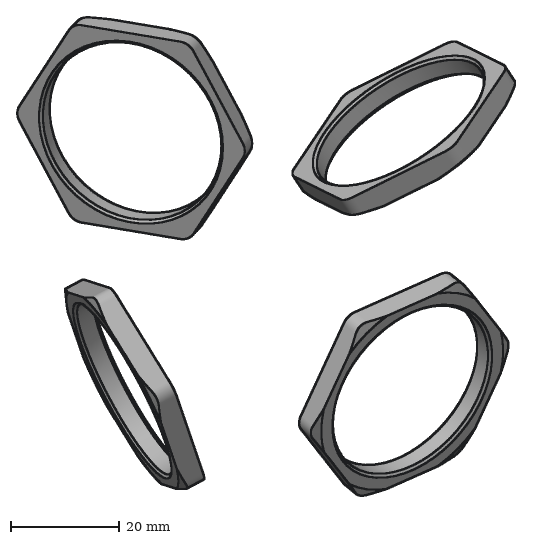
import cadquery as cq
import math

across_flats = 40.0
across_corners = 45.25
thickness = 4.5
bore_diameter = 35.5
bore_chamfer = 0.55
crown_radius = 20.8
crown_angle = 24.0

corner_stretch = 1 / math.cos(math.radians(30))
sharp_corners = across_flats * corner_stretch
corner_radius = (sharp_corners - across_corners) / 2 / (corner_stretch - 1)

front_y = -thickness / 2
back_y = thickness / 2


def hexagon_blank():
    """Hexagonal prism with rounded corners, two of them on the X axis."""
    return (
        cq.Workplane("XZ", origin=(0, back_y, 0))
        .polygon(6, sharp_corners)
        .extrude(thickness)
        .edges("|Y")
        .fillet(corner_radius)
    )


def crown_envelope():
    """Solid of revolution whose conical back bevels the hexagon corners."""
    rim_radius = sharp_corners / 2
    rim_y = back_y - (rim_radius - crown_radius) * math.tan(math.radians(crown_angle))
    return (
        cq.Workplane("XY")
        .moveTo(0, front_y)
        .lineTo(rim_radius, front_y)
        .lineTo(rim_radius, rim_y)
        .lineTo(crown_radius, back_y)
        .lineTo(0, back_y)
        .close()
        .revolve(360, (0, 0), (0, 1))
    )


def bore_cutter():
    """Through bore with a 45 degree chamfer at both faces."""
    bore_radius = bore_diameter / 2
    mouth_radius = bore_radius + bore_chamfer
    return (
        cq.Workplane("XY")
        .moveTo(0, front_y)
        .lineTo(mouth_radius, front_y)
        .lineTo(bore_radius, front_y + bore_chamfer)
        .lineTo(bore_radius, back_y - bore_chamfer)
        .lineTo(mouth_radius, back_y)
        .lineTo(0, back_y)
        .close()
        .revolve(360, (0, 0), (0, 1))
    )


result = hexagon_blank().intersect(crown_envelope()).cut(bore_cutter())